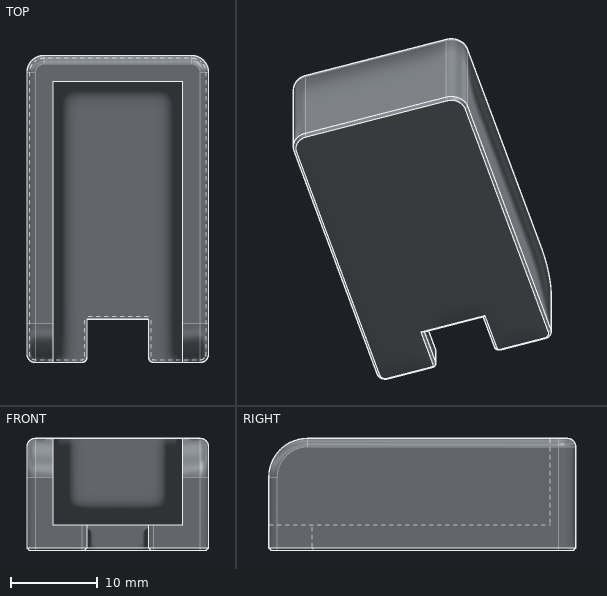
import cadquery as cq

width = 21.0
length = 35.5
height = 13.0

wall = 3.0
floor = 2.98

back_corner_radius = 2.0
front_top_radius = 4.5
rim_radius = 1.0
bottom_chamfer = 0.32

slot_width = 7.1
slot_depth = 5.0
slot_mouth_radius = 0.6

front_y = -length / 2


def make_body():
    """Solid block with rounded back corners, front top edge and outer rim."""
    body = cq.Workplane("XY").box(width, length, height, centered=(True, True, False))
    body = body.edges("|Z and >Y").fillet(back_corner_radius)
    body = body.edges("|X and >Z and <Y").fillet(front_top_radius)
    return body.edges("|Z and <Y").fillet(rim_radius)


def make_cavity():
    """Pocket open at the top and at the front."""
    return (
        cq.Workplane("XY", origin=(0, front_y, floor))
        .box(width - 2 * wall, length - wall, height - floor, centered=(True, False, False))
    )


def make_slot():
    """Rectangular notch through the floor."""
    return (
        cq.Workplane("XY", origin=(0, front_y, 0))
        .box(slot_width, slot_depth, floor, centered=(True, False, False))
    )


tray = make_body().cut(make_cavity()).cut(make_slot())

slot_mouth_box = cq.selectors.BoxSelector(
    (-slot_width / 2 - slot_mouth_radius, front_y - slot_mouth_radius, 0),
    (slot_width / 2 + slot_mouth_radius, front_y + slot_mouth_radius, floor),
)
tray = tray.edges("|Z").edges(slot_mouth_box).fillet(slot_mouth_radius)

result = tray.faces("<Z").edges().chamfer(bottom_chamfer)